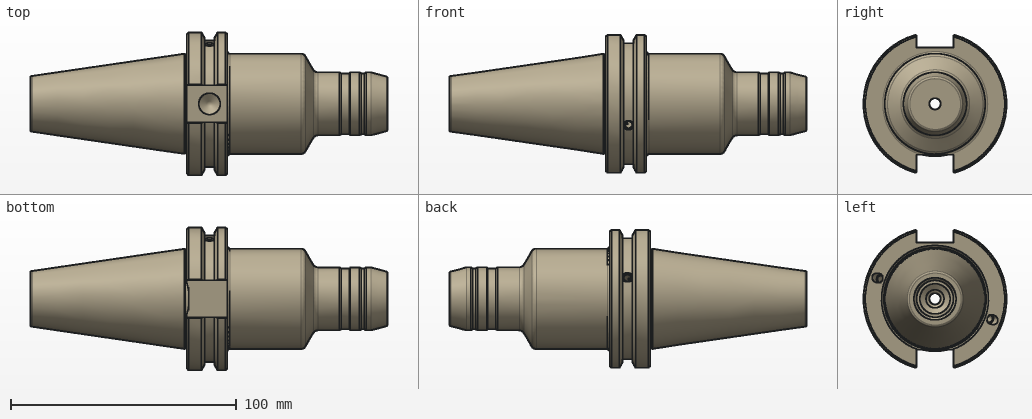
import cadquery as cq
import math


TAPER_LENGTH = 68.25
TAPER_DIAMETER = 44.45
TAPER_RATIO = 7 / 24
SHANK_END_FILLET = 0.9
RELIEF_DIAMETER = 43.8
RELIEF_RAMP = 0.4

FLANGE_DIAMETER = 63.5
FLANGE_FRONT = 1.0
FLANGE_BACK = 19.05
FLANGE_CHAMFER = 0.9
FACE_RECESS_DIAMETER = 47.4
FACE_RECESS_FLOOR_DIAMETER = 45.4
FACE_RECESS_DEPTH = 1.0
GROOVE_CENTRE = 11.1
GROOVE_FLOOR_DIAMETER = 56.1
GROOVE_FLOOR_WIDTH = 4.2
GROOVE_MOUTH_WIDTH = 7.2
GROOVE_HALF_ANGLE = 30.0

SLOT_WIDTH = 16.3
SLOT_EDGE_CHAMFER = 0.5
UPPER_SLOT_FLOOR = 25.0
LOWER_SLOT_FLOOR = 22.6
DIMPLE_DIAMETER = 9.53
DIMPLE_TIP_ANGLE = 118.0

COOLANT_ANGLE = 20.0
COOLANT_ENTRY_RADIUS = 27.1
COOLANT_TILT = 30.0
COOLANT_HOLE_DIAMETER = 3.24
COUNTERBORE_DIAMETER = 4.2
ENTRY_COUNTERBORE_DEPTH = 3.0
OUTLET_COUNTERBORE_DEPTH = 1.0
OUTLET_OVERRUN = 3.0

NOSE_END = 90.0
BODY_DIAMETER = 44.5
BODY_FILLET = 1.0
SHOULDER_START = 52.9
SHOULDER_ANGLE = 60.0
SHOULDER_OUTER_RADIUS = 2.25
SHOULDER_INNER_RADIUS = 2.5
NOSE_DIAMETER = 28.0
NOSE_GROOVE_DIAMETER = 27.0
NOSE_GROOVE_WALL_ANGLE = 30.0
WIDE_GROOVE_START = 68.5
WIDE_GROOVE_END = 73.5
NARROW_GROOVE_START = 77.5
NARROW_GROOVE_END = 80.5
TIP_START = 82.5
TIP_ANGLE = 15.0
TIP_FILLET = 1.0

PILOT_DIAMETER = 16.3
PILOT_CHAMFER_WIDTH = 1.2
PILOT_CHAMFER_ANGLE = 30.0
PILOT_DEPTH = 5.0
THREAD_BORE_DIAMETER = 13.39
THREAD_BORE_DEPTH = 32.0
STEP_BORE_DIAMETER = 8.0
STEP_BORE_DEPTH = 50.0
DRILL_TIP_ANGLE = 118.0
THROUGH_DIAMETER = 4.92

SHANK_END = -TAPER_LENGTH
OVERCUT = 1.0


def tan_deg(angle):
    return math.tan(math.radians(angle))


def cone_height(diameter, tip_angle):
    return diameter / 2 / tan_deg(tip_angle / 2)


def revolve_about_x(profile):
    return profile.close().revolve(360, (0, 0, 0), (1, 0, 0))


def make_shank():
    small_radius = (TAPER_DIAMETER - TAPER_LENGTH * TAPER_RATIO) / 2
    recess_floor = FLANGE_FRONT + FACE_RECESS_DEPTH
    profile = (
        cq.Workplane("XY")
        .moveTo(SHANK_END, 0)
        .lineTo(SHANK_END, small_radius)
        .lineTo(0, TAPER_DIAMETER / 2)
        .lineTo(RELIEF_RAMP, RELIEF_DIAMETER / 2)
        .lineTo(recess_floor, RELIEF_DIAMETER / 2)
        .lineTo(recess_floor, 0)
    )
    solid = revolve_about_x(profile)
    return fillet_rim(solid, SHANK_END, 2 * small_radius, SHANK_END_FILLET)


def make_flange():
    outer = FLANGE_DIAMETER / 2
    floor = GROOVE_FLOOR_DIAMETER / 2
    half_floor = GROOVE_FLOOR_WIDTH / 2
    half_mouth = GROOVE_MOUTH_WIDTH / 2
    flank_end = outer - (half_mouth - half_floor) / tan_deg(GROOVE_HALF_ANGLE)
    profile = (
        cq.Workplane("XY")
        .moveTo(FLANGE_FRONT + FACE_RECESS_DEPTH, 0)
        .lineTo(FLANGE_FRONT + FACE_RECESS_DEPTH, FACE_RECESS_FLOOR_DIAMETER / 2)
        .lineTo(FLANGE_FRONT, FACE_RECESS_DIAMETER / 2)
        .lineTo(FLANGE_FRONT, outer - FLANGE_CHAMFER)
        .lineTo(FLANGE_FRONT + FLANGE_CHAMFER, outer)
        .lineTo(GROOVE_CENTRE - half_mouth, outer)
        .lineTo(GROOVE_CENTRE - half_floor, flank_end)
        .lineTo(GROOVE_CENTRE - half_floor, floor)
        .lineTo(GROOVE_CENTRE + half_floor, floor)
        .lineTo(GROOVE_CENTRE + half_floor, flank_end)
        .lineTo(GROOVE_CENTRE + half_mouth, outer)
        .lineTo(FLANGE_BACK - FLANGE_CHAMFER, outer)
        .lineTo(FLANGE_BACK, outer - FLANGE_CHAMFER)
        .lineTo(FLANGE_BACK, 0)
    )
    return revolve_about_x(profile)


def make_body():
    body = BODY_DIAMETER / 2
    nose = NOSE_DIAMETER / 2
    groove = NOSE_GROOVE_DIAMETER / 2
    steep_wall = nose - groove
    wall = (nose - groove) / tan_deg(NOSE_GROOVE_WALL_ANGLE)
    shoulder_end = SHOULDER_START + (body - nose) / tan_deg(SHOULDER_ANGLE)
    tip = nose - (NOSE_END - TIP_START) * tan_deg(TIP_ANGLE)
    profile = (
        cq.Workplane("XY")
        .moveTo(FLANGE_BACK, 0)
        .lineTo(FLANGE_BACK, body + BODY_FILLET)
        .radiusArc((FLANGE_BACK + BODY_FILLET, body), -BODY_FILLET)
        .lineTo(SHOULDER_START, body)
        .lineTo(shoulder_end, nose)
        .lineTo(WIDE_GROOVE_START, nose)
        .lineTo(WIDE_GROOVE_START + wall, groove)
        .lineTo(WIDE_GROOVE_END - steep_wall, groove)
        .lineTo(WIDE_GROOVE_END, nose)
        .lineTo(NARROW_GROOVE_START, nose)
        .lineTo(NARROW_GROOVE_START + wall, groove)
        .lineTo(NARROW_GROOVE_END - wall, groove)
        .lineTo(NARROW_GROOVE_END, nose)
        .lineTo(TIP_START, nose)
        .lineTo(NOSE_END, tip)
        .lineTo(NOSE_END, 0)
    )
    solid = revolve_about_x(profile)
    solid = fillet_rim(solid, SHOULDER_START, BODY_DIAMETER, SHOULDER_OUTER_RADIUS)
    solid = fillet_rim(solid, shoulder_end, NOSE_DIAMETER, SHOULDER_INNER_RADIUS)
    return fillet_rim(solid, NOSE_END, 2 * tip, TIP_FILLET)


def fillet_rim(solid, x, diameter, radius):
    """Round the circular edge of the given diameter that lies in the plane at x."""
    margin = 0.1
    reach = diameter / 2 + margin
    rim = cq.selectors.BoxSelector(
        (x - margin, -reach, -reach), (x + margin, reach, reach), boundingbox=True
    )
    return solid.edges(rim).fillet(radius)


def make_bore():
    pilot = PILOT_DIAMETER / 2
    chamfer_length = PILOT_CHAMFER_WIDTH / tan_deg(PILOT_CHAMFER_ANGLE)
    thread = THREAD_BORE_DIAMETER / 2
    step = STEP_BORE_DIAMETER / 2
    through = THROUGH_DIAMETER / 2
    thread_end = SHANK_END + THREAD_BORE_DEPTH
    cone_end = thread_end + (thread - step) / tan_deg(DRILL_TIP_ANGLE / 2)
    step_end = SHANK_END + STEP_BORE_DEPTH
    step_cone_end = step_end + (step - through) / tan_deg(DRILL_TIP_ANGLE / 2)
    profile = (
        cq.Workplane("XY")
        .moveTo(SHANK_END, 0)
        .lineTo(SHANK_END, pilot + PILOT_CHAMFER_WIDTH)
        .lineTo(SHANK_END + chamfer_length, pilot)
        .lineTo(SHANK_END + PILOT_DEPTH, pilot)
        .lineTo(SHANK_END + PILOT_DEPTH, thread)
        .lineTo(thread_end, thread)
        .lineTo(cone_end, step)
        .lineTo(step_end, step)
        .lineTo(step_cone_end, through)
        .lineTo(NOSE_END, through)
        .lineTo(NOSE_END, 0)
    )
    return revolve_about_x(profile)


def make_slot(floor, side):
    """Drive slot across the flange; side is +1 for the top and -1 for the bottom."""
    half = SLOT_WIDTH / 2
    rim_half = half + SLOT_EDGE_CHAMFER
    rim = math.sqrt((FLANGE_DIAMETER / 2) ** 2 - rim_half ** 2)
    top = FLANGE_DIAMETER / 2 + OVERCUT
    right_side = [
        (half, floor),
        (half, rim - SLOT_EDGE_CHAMFER),
        (rim_half, rim),
        (rim_half, top),
    ]
    left_side = [(-y, z) for y, z in reversed(right_side)]
    outline = [(y, side * z) for y, z in right_side + left_side]
    return (
        cq.Workplane("YZ", origin=(FLANGE_FRONT, 0, 0))
        .polyline(outline)
        .close()
        .extrude(FLANGE_BACK - FLANGE_FRONT)
    )


def make_dimple():
    depth = cone_height(DIMPLE_DIAMETER, DIMPLE_TIP_ANGLE)
    cone = cq.Solid.makeCone(
        DIMPLE_DIAMETER / 2, 0, depth,
        cq.Vector(GROOVE_CENTRE, 0, UPPER_SLOT_FLOOR), cq.Vector(0, 0, -1),
    )
    return cq.Workplane(obj=cone)


def make_counterbored_hole(entry, direction, length, counterbore_depth):
    """Counterbored hole along a unit direction; the counterbore also clears the stock before the entry."""
    lead = 2 * OVERCUT
    hole = cq.Solid.makeCylinder(COOLANT_HOLE_DIAMETER / 2, length, entry, direction)
    counterbore = cq.Solid.makeCylinder(
        COUNTERBORE_DIAMETER / 2, counterbore_depth + lead, entry - direction * lead, direction
    )
    return cq.Workplane(obj=hole).union(cq.Workplane(obj=counterbore))


def make_coolant_passage(side):
    """Tilted hole from the flange face that ends on the axis of a radial hole from the groove."""
    angle = math.radians(COOLANT_ANGLE)
    tilt = math.radians(COOLANT_TILT)
    forward = cq.Vector(1, 0, 0)
    outward = cq.Vector(0, side * math.cos(angle), side * math.sin(angle))
    inward_tilt = forward * math.cos(tilt) - outward * math.sin(tilt)

    entry = forward * FLANGE_FRONT + outward * COOLANT_ENTRY_RADIUS
    run = (GROOVE_CENTRE - FLANGE_FRONT) / math.cos(tilt)
    tilted = make_counterbored_hole(entry, inward_tilt, run, ENTRY_COUNTERBORE_DEPTH)

    floor = GROOVE_FLOOR_DIAMETER / 2
    meeting_radius = COOLANT_ENTRY_RADIUS - run * math.sin(tilt)
    depth = floor - meeting_radius + OUTLET_OVERRUN
    outlet = forward * GROOVE_CENTRE + outward * floor
    radial = make_counterbored_hole(outlet, -outward, depth, OUTLET_COUNTERBORE_DEPTH)
    return tilted.union(radial)


flange = make_flange()
flange = flange.cut(make_slot(UPPER_SLOT_FLOOR, 1)).cut(make_slot(LOWER_SLOT_FLOOR, -1))

result = make_shank().union(flange).union(make_body())
result = result.cut(make_dimple())
for side in (1, -1):
    result = result.cut(make_coolant_passage(side))
result = result.cut(make_bore())